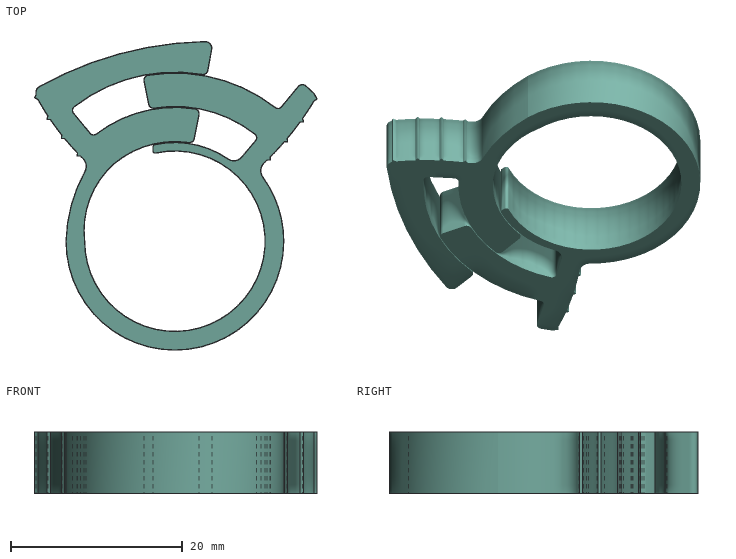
import math

import cadquery as cq

WIDTH = 7.2
OUTER_RADIUS = 12.7
BORE_RADIUS = 10.5

JAW_CENTRE_Y = 0.6
INNER_CONTACT = 10.96
MIDDLE_CONTACT = 15.05
OUTER_CONTACT = 19.05
HALF_GAP = 0.04
FINGER_END_ANGLE = 11.3
POCKET_ANGLE = 39.5
RIGHT_POCKET_ANGLE = 40.2
STRIP_END_X = -2.57

BACK_RADIUS = 41.1
BACK_END = (4.47, 23.285)
BACK_CORNER = (-16.22, 17.78)

TAB_RADIUS = 23.22
TAB_OUTER_ANGLE = 44.4

SHOULDER_OUTER_MID = (-12.0, 4.5)
SHOULDER_INNER_MID = (-9.8, 5.18)
SHOULDER_INNER_ANGLE = 40.0

LEFT_ROOT = (-10.0, 8.95)
LEFT_LIP = [(-15.97, 16.52), (-16.37, 16.73), (-16.2, 17.0)]
LEFT_FLANK_RADIUS = 30.0
LEFT_NIB_PITCH = 2.76
RIGHT_ROOT = (9.55, 8.35)
RIGHT_LIP = [(16.21, 16.32), (16.57, 16.57)]
RIGHT_FLANK_RADIUS = 34.0
RIGHT_NIB_PITCH = 2.93
NIB_COUNT = 3
NIB_LENGTH = 0.5
NIB_LEDGE = 0.37
NIB_FACE = 0.2
NIB_ROOT_DEPTH = 0.2

ROOT_FILLET = 1.3
FINGER_FILLET = 0.6
BACK_FILLET = 0.8
POCKET_FILLET = 0.53
STRIP_POCKET_FILLET = 1.2
STRIP_END_FILLET = 0.3
TAB_FILLET = 0.6


def jaw_point(radius, angle_from_y):
    """Point on a jaw circle; positive angles lean towards +X."""
    angle = math.radians(angle_from_y)
    return (radius * math.sin(angle), JAW_CENTRE_Y + radius * math.cos(angle))


def bore_point(x):
    """Point on the upper half of the bore circle."""
    return (x, math.sqrt(BORE_RADIUS ** 2 - x ** 2))


def flank_centre(lip, root, radius):
    """Centre of a flank arc; it lies on the solid side of the flank."""
    dx = root[0] - lip[0]
    dy = root[1] - lip[1]
    chord = math.hypot(dx, dy)
    rise = math.sqrt(radius ** 2 - (chord / 2) ** 2)
    side = math.copysign(rise, lip[0])
    return (
        (lip[0] + root[0]) / 2 + side * dy / chord,
        (lip[1] + root[1]) / 2 - side * dx / chord,
    )


def above(contact):
    """Radius of the surface just outside a contact gap."""
    return contact + HALF_GAP


def below(contact):
    """Radius of the surface just inside a contact gap."""
    return contact - HALF_GAP


back_finger_tip = jaw_point(above(OUTER_CONTACT), FINGER_END_ANGLE)
left_pocket_top = jaw_point(above(OUTER_CONTACT), -POCKET_ANGLE)
left_pocket_bottom = jaw_point(below(MIDDLE_CONTACT), -POCKET_ANGLE)
low_finger_top = jaw_point(below(MIDDLE_CONTACT), FINGER_END_ANGLE)
low_finger_bottom = jaw_point(above(INNER_CONTACT), FINGER_END_ANGLE)
right_finger_top = jaw_point(below(OUTER_CONTACT), -FINGER_END_ANGLE)
right_finger_bottom = jaw_point(above(MIDDLE_CONTACT), -FINGER_END_ANGLE)
right_pocket_top = jaw_point(above(MIDDLE_CONTACT), RIGHT_POCKET_ANGLE)
right_pocket_bottom = jaw_point(below(INNER_CONTACT), RIGHT_POCKET_ANGLE)
tab_root = jaw_point(below(OUTER_CONTACT), POCKET_ANGLE)
tab_inner = jaw_point(TAB_RADIUS, POCKET_ANGLE)
tab_outer = jaw_point(TAB_RADIUS, TAB_OUTER_ANGLE)
strip_radius = below(INNER_CONTACT)
strip_top = jaw_point(strip_radius, math.degrees(math.asin(STRIP_END_X / strip_radius)))
strip_bottom = bore_point(STRIP_END_X)
shoulder_end = jaw_point(above(INNER_CONTACT), -SHOULDER_INNER_ANGLE)


def sharp_body():
    """The clamp with unrounded corners, traced as one closed outline."""
    outline = (
        cq.Workplane("XY")
        .moveTo(-OUTER_RADIUS, 0)
        .threePointArc((0, -OUTER_RADIUS), (OUTER_RADIUS, 0))
        .radiusArc(RIGHT_ROOT, -OUTER_RADIUS)
        .radiusArc(RIGHT_LIP[0], -RIGHT_FLANK_RADIUS)
        .lineTo(*RIGHT_LIP[1])
        .lineTo(*tab_outer)
        .radiusArc(tab_inner, -TAB_RADIUS)
        .lineTo(*tab_root)
        .radiusArc(right_finger_top, -below(OUTER_CONTACT))
        .lineTo(*right_finger_bottom)
        .radiusArc(right_pocket_top, above(MIDDLE_CONTACT))
        .lineTo(*right_pocket_bottom)
        .radiusArc(strip_top, -strip_radius)
        .lineTo(*strip_bottom)
        .radiusArc((BORE_RADIUS, 0), BORE_RADIUS)
        .threePointArc((0, -BORE_RADIUS), (-BORE_RADIUS, 0))
        .threePointArc(SHOULDER_INNER_MID, shoulder_end)
        .radiusArc(low_finger_bottom, above(INNER_CONTACT))
        .lineTo(*low_finger_top)
        .radiusArc(left_pocket_bottom, -below(MIDDLE_CONTACT))
        .lineTo(*left_pocket_top)
        .radiusArc(back_finger_tip, above(OUTER_CONTACT))
        .lineTo(*BACK_END)
        .radiusArc(BACK_CORNER, -BACK_RADIUS)
        .lineTo(*LEFT_LIP[2])
        .lineTo(*LEFT_LIP[1])
        .lineTo(*LEFT_LIP[0])
        .radiusArc(LEFT_ROOT, -LEFT_FLANK_RADIUS)
        .threePointArc(SHOULDER_OUTER_MID, (-OUTER_RADIUS, 0))
        .close()
    )
    return outline.extrude(WIDTH)


def round_corner(body, corner, radius):
    """Fillet the upright edge that stands on the given corner of the outline."""
    selector = cq.NearestToPointSelector((corner[0], corner[1], WIDTH / 2))
    return body.edges("|Z").edges(selector).fillet(radius)


def nib(lip, root, radius, distance):
    """Small hooked grip nib, a given distance down the flank from the lip."""
    centre = flank_centre(lip, root, radius)
    lip_angle = math.atan2(lip[1] - centre[1], lip[0] - centre[0])
    turn = math.copysign(1, lip[0])

    def flank_point(along, height):
        angle = lip_angle - turn * along / radius
        reach = radius + height
        return (centre[0] + reach * math.cos(angle), centre[1] + reach * math.sin(angle))

    top = distance - NIB_LENGTH
    base = flank_point(distance, 0)
    tip_x = base[0] + turn * NIB_LEDGE
    profile = [
        flank_point(distance, -NIB_ROOT_DEPTH),
        base,
        (tip_x, base[1]),
        (tip_x, base[1] + NIB_FACE),
        flank_point(top, 0),
        flank_point(top, -NIB_ROOT_DEPTH),
    ]
    return cq.Workplane("XY").polyline(profile).close().extrude(WIDTH)


corner_fillets = [
    (LEFT_ROOT, ROOT_FILLET),
    (RIGHT_ROOT, ROOT_FILLET),
    (BACK_END, BACK_FILLET),
    (BACK_CORNER, BACK_FILLET),
    (back_finger_tip, FINGER_FILLET),
    (low_finger_top, FINGER_FILLET),
    (low_finger_bottom, FINGER_FILLET),
    (right_finger_top, FINGER_FILLET),
    (right_finger_bottom, FINGER_FILLET),
    (left_pocket_top, POCKET_FILLET),
    (left_pocket_bottom, POCKET_FILLET),
    (right_pocket_top, POCKET_FILLET),
    (right_pocket_bottom, STRIP_POCKET_FILLET),
    (strip_top, STRIP_END_FILLET),
    (strip_bottom, STRIP_END_FILLET),
    (tab_root, POCKET_FILLET),
    (tab_inner, TAB_FILLET),
    (tab_outer, TAB_FILLET),
]

clamp = sharp_body()
for corner, radius in corner_fillets:
    clamp = round_corner(clamp, corner, radius)

for number in range(1, NIB_COUNT + 1):
    left_nib = nib(LEFT_LIP[0], LEFT_ROOT, LEFT_FLANK_RADIUS, number * LEFT_NIB_PITCH)
    right_nib = nib(RIGHT_LIP[0], RIGHT_ROOT, RIGHT_FLANK_RADIUS, number * RIGHT_NIB_PITCH)
    clamp = clamp.union(left_nib).union(right_nib)

result = clamp